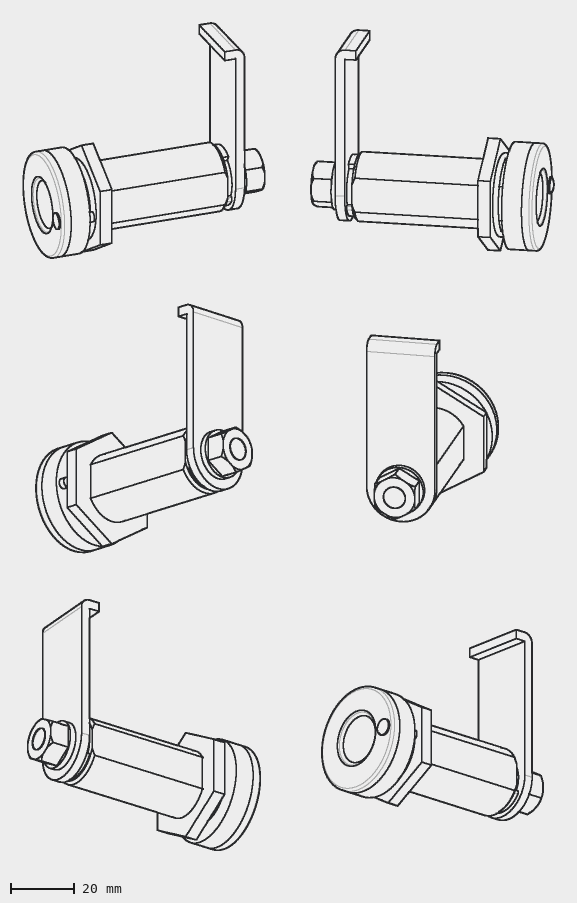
import cadquery as cq
import math


flange_diameter = 34.0
flange_thickness = 6.4
barrel_diameter = 22.05
barrel_flats = 19.0
barrel_length = 49.6
barrel_chamfer = 1.0
locating_pin_diameter = 3.3
locating_pin_length = 2.0
locating_pin_x = 14.0

cap_thickness = 3.1
cap_fillet = 0.8
dish_rim_diameter = 18.2
dish_lip_diameter = 17.2
dish_floor_diameter = 15.2
dish_lip_depth = 0.3
dish_depth = 1.2

button_diameter = 5.3
button_x = 13.0
button_rim_height = 0.45
button_height = 1.2

nut_flats = 32.0
nut_thickness = 4.0
ring_outer_diameter = 26.6
ring_section_diameter = 1.8
ring_front = 2.0

stop_thickness = 2.0
stop_hub_diameter = 16.0
upper_stop_diameter = 20.0
upper_stop_half_angle = 30
lower_stop_diameter = 19.0
lower_stop_half_angle = 60
lower_stop_fillet = 0.8

cam_thickness = 3.05
cam_width = 22.05
cam_height = 48.0
hook_length = 6.7

washer_diameter = 15.5
washer_thickness = 2.0
bolt_flats = 13.0
bolt_head_height = 6.7
bolt_boss_diameter = 7.05
bolt_boss_height = 0.2
bolt_end_diameter = 13.2
bolt_edge_chamfer = 0.9
shank_diameter = 8.0
shank_depth_in_barrel = 10.0

flange_front = -flange_thickness
cap_front = flange_front - cap_thickness
nut_front = ring_front + ring_section_diameter
nut_rear = nut_front + nut_thickness
stop_rear = barrel_length + stop_thickness
cam_rear = stop_rear + cam_thickness
washer_rear = cam_rear + washer_thickness
bolt_head_rear = washer_rear + bolt_head_height
shank_front = barrel_length - shank_depth_in_barrel


def plane_at(y):
    """Sketch plane across the latch axis, with local axes X and Z; extrusions go towards -Y."""
    return cq.Workplane("XZ", origin=(0, y, 0))


def cylinder(diameter, front, rear, x=0):
    return plane_at(rear).center(x, 0).circle(diameter / 2).extrude(rear - front)


def hexagon(across_flats, front, rear):
    """Hexagonal prism with corners pointing up and down."""
    corner_radius = across_flats / 2 / math.cos(math.radians(30))
    corners = [
        (corner_radius * math.sin(math.radians(a)), corner_radius * math.cos(math.radians(a)))
        for a in range(0, 360, 60)
    ]
    return plane_at(rear).polyline(corners).close().extrude(rear - front)


def revolved(profile):
    """Turn a closed profile of (radius, y) points about the latch axis."""
    return cq.Workplane("XY").polyline(profile).close().revolve(360, (0, 0, 0), (0, 1, 0))


def flatted_barrel(front, rear):
    flats = plane_at(rear).rect(barrel_flats, 2 * barrel_diameter).extrude(rear - front)
    return cylinder(barrel_diameter, front, rear).intersect(flats)


def shank():
    """Bolt shank, which also gives the matching holes in the bodies it passes through."""
    return cylinder(shank_diameter, shank_front, washer_rear)


def make_housing():
    radius = barrel_diameter / 2
    turned_barrel = revolved([
        (0, flange_front),
        (radius, flange_front),
        (radius, barrel_length - barrel_chamfer),
        (radius - barrel_chamfer, barrel_length),
        (0, barrel_length),
    ])
    barrel = turned_barrel.intersect(flatted_barrel(flange_front, barrel_length))
    flange = cylinder(flange_diameter, flange_front, 0)
    locating_pin = cylinder(
        locating_pin_diameter, flange_front, locating_pin_length, locating_pin_x
    )
    return barrel.union(flange).union(locating_pin).cut(shank())


def make_cap():
    disc = cylinder(flange_diameter, cap_front, flange_front).faces("<Y").edges().fillet(cap_fillet)
    dish = revolved([
        (0, cap_front),
        (dish_rim_diameter / 2, cap_front),
        (dish_lip_diameter / 2, cap_front + dish_lip_depth),
        (dish_floor_diameter / 2, cap_front + dish_depth),
        (0, cap_front + dish_depth),
    ])
    button_hole = cylinder(button_diameter, cap_front, flange_front, button_x)
    return disc.cut(dish).cut(button_hole)


def make_button():
    """Plug through the cap with a domed top standing above the cap face."""
    radius = button_diameter / 2
    rim_y = cap_front - button_rim_height
    tip_y = cap_front - button_height
    dome_rise = button_height - button_rim_height
    dome_radius = (radius**2 + dome_rise**2) / (2 * dome_rise)
    dome_middle_angle = math.asin(radius / dome_radius) / 2
    dome_middle = (
        dome_radius * math.sin(dome_middle_angle),
        tip_y + dome_radius * (1 - math.cos(dome_middle_angle)),
    )
    profile = (
        cq.Workplane("XY")
        .moveTo(0, flange_front)
        .lineTo(radius, flange_front)
        .lineTo(radius, rim_y)
        .threePointArc(dome_middle, (0, tip_y))
        .close()
    )
    return profile.revolve(360, (0, 0, 0), (0, 1, 0)).translate((button_x, 0, 0))


def make_nut():
    return hexagon(nut_flats, nut_front, nut_rear).cut(flatted_barrel(nut_front, nut_rear))


def make_sealing_ring():
    section_radius = ring_section_diameter / 2
    section_centre = (ring_outer_diameter / 2 - section_radius, nut_front - section_radius)
    section = cq.Workplane("XY").center(*section_centre).circle(section_radius)
    return section.revolve(360, (-section_centre[0], 0, 0), (-section_centre[0], 1, 0))


def stop_sector(diameter, half_angle, direction):
    """Sector of the stop disc centred on up (direction 1) or down (direction -1)."""
    radius = diameter / 2
    end_x = radius * math.sin(math.radians(half_angle))
    end_z = direction * radius * math.cos(math.radians(half_angle))
    return (
        plane_at(stop_rear)
        .lineTo(-end_x, end_z)
        .threePointArc((0, direction * radius), (end_x, end_z))
        .close()
        .extrude(stop_thickness)
    )


def make_stop_disc():
    hub = cylinder(stop_hub_diameter, barrel_length, stop_rear)
    upper_stop = stop_sector(upper_stop_diameter, upper_stop_half_angle, 1)
    lower_stop = stop_sector(lower_stop_diameter, lower_stop_half_angle, -1)
    lower_stop = lower_stop.edges("|Y and (<X or >X)").fillet(lower_stop_fillet)
    return hub.union(upper_stop).union(lower_stop).cut(shank())


def make_cam():
    """Arm with a round lower end, bent forward at the top round the inner corner."""
    half_width = cam_width / 2
    bend_z = cam_height - cam_thickness
    bend_y = stop_rear
    hook_front = cam_rear - hook_length
    bend_offset = cam_thickness * math.sqrt(0.5)
    side_profile = (
        cq.Workplane("YZ")
        .moveTo(bend_y, -half_width)
        .lineTo(cam_rear, -half_width)
        .lineTo(cam_rear, bend_z)
        .threePointArc((bend_y + bend_offset, bend_z + bend_offset), (bend_y, cam_height))
        .lineTo(hook_front, cam_height)
        .lineTo(hook_front, bend_z)
        .lineTo(bend_y, bend_z)
        .close()
    )
    front_outline = (
        plane_at(cam_rear)
        .moveTo(-half_width, 0)
        .threePointArc((0, -half_width), (half_width, 0))
        .lineTo(half_width, cam_height)
        .lineTo(-half_width, cam_height)
        .close()
    )
    bent_strip = side_profile.extrude(half_width, both=True)
    return bent_strip.intersect(front_outline.extrude(hook_length)).cut(shank())


def make_washer():
    return cylinder(washer_diameter, cam_rear, washer_rear).cut(shank())


def make_bolt():
    end_radius = bolt_end_diameter / 2
    turned_envelope = revolved([
        (0, washer_rear),
        (end_radius + bolt_edge_chamfer, washer_rear),
        (end_radius + bolt_edge_chamfer, bolt_head_rear - bolt_edge_chamfer),
        (end_radius, bolt_head_rear),
        (0, bolt_head_rear),
    ])
    head = hexagon(bolt_flats, washer_rear, bolt_head_rear).intersect(turned_envelope)
    boss = cylinder(bolt_boss_diameter, bolt_head_rear, bolt_head_rear + bolt_boss_height)
    return head.union(boss).union(shank())


housing = make_housing()
cap = make_cap()
button = make_button()
nut = make_nut()
sealing_ring = make_sealing_ring()
stop_disc = make_stop_disc()
cam = make_cam()
washer = make_washer()
bolt = make_bolt()

bodies = [housing, cap, button, nut, sealing_ring, stop_disc, cam, washer, bolt]
result = cq.Compound.makeCompound([body.val() for body in bodies])